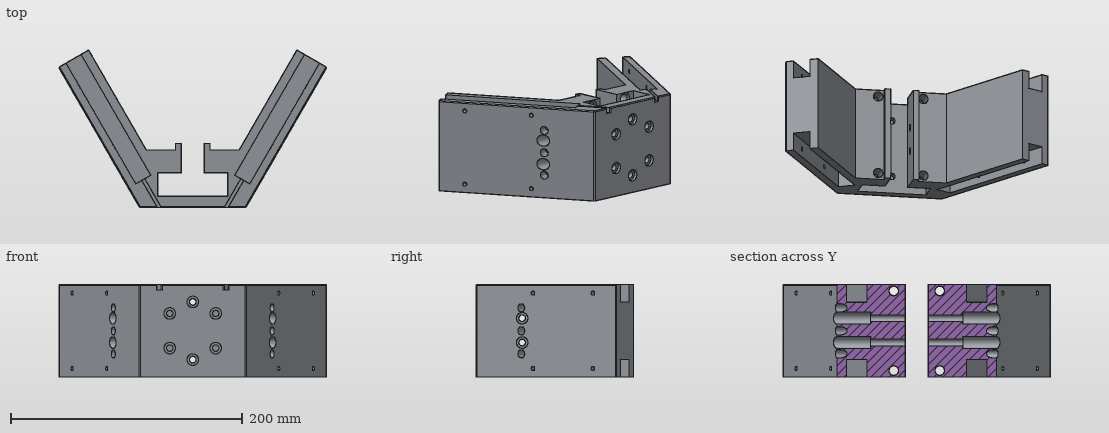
import cadquery as cq
import math

height = 80.3
front_half_width = 46.0
arm_angle = 60.0
arm_length = 140.2
arm_thickness = 30.0
edge_chamfer = 1.0

plate_thickness = 10.0
pocket_half_width = 30.0
pocket_back = 30.0
neck_half_width = 10.0
block_back = 50.0
lip_back = 55.5
lip_width = 5.0

channel_start = 19.5
channel_wall = 7.5
channel_width = 15.0
channel_depth = 15.3
wire_groove_width = 3.0
wire_groove_depth = 4.6

screw_diameter = 5.5
screw_head_diameter = 10.0
plate_head_depth = 3.0
plate_centre_pitch_z = 50.0
plate_side_pitch_x = 39.8
plate_side_pitch_z = 30.0

block_hole_pitch_z = 69.0
block_hole_diameter = 8.0
block_countersink_diameter = 11.0

clamp_y = 40.0
clamp_middle_z = 40.5
clamp_pitch_z = 21.0
clamp_seat_x = 40.0

socket_diameter = 7.0
socket_along = 45.4
socket_pitch_z = 20.0
socket_depth = 15.0

pin_diameter = 3.5
pin_alongs = (57.0, 116.9)
pin_pitch_z = 65.3

overrun = 2.3

middle_z = height / 2
angle = math.radians(arm_angle)
along_arm = (math.cos(angle), math.sin(angle), 0)
into_arm = (-math.sin(angle), math.cos(angle), 0)
into_plate = (0, 1, 0)
outward = (1, 0, 0)


def arm_point(along, inward):
    """Plan position on the right arm, measured from its outer front corner."""
    x = front_half_width + along * math.cos(angle) - inward * math.sin(angle)
    y = along * math.sin(angle) + inward * math.cos(angle)
    return x, y


def pair_z(pitch, centre=middle_z):
    """Two heights spaced evenly about a centre height."""
    return centre - pitch / 2, centre + pitch / 2


def hole(start, direction, diameter, depth):
    solid = cq.Solid.makeCylinder(diameter / 2, depth, cq.Vector(*start), cq.Vector(*direction))
    return cq.Workplane(solid)


def body_half():
    """Right half of the body, up to the middle plane."""
    along_at_block = (block_back - arm_thickness * math.cos(angle)) / math.sin(angle)
    outline = [
        (0, 0),
        arm_point(0, 0),
        arm_point(arm_length, 0),
        arm_point(arm_length, arm_thickness),
        arm_point(along_at_block, arm_thickness),
        (neck_half_width + lip_width, block_back),
        (neck_half_width + lip_width, lip_back),
        (neck_half_width, lip_back),
        (neck_half_width, pocket_back),
        (pocket_half_width, pocket_back),
        (pocket_half_width, plate_thickness),
        (0, plate_thickness),
    ]
    return cq.Workplane("XY").polyline(outline).close().extrude(height)


def chamfer_outside(body):
    """Break the top and upright edges of the outside faces, including the groove mouth."""
    groove_left, groove_right = (groove_mouth_x(side) for side in (1, -1))
    groove_middle_z = height - wire_groove_depth / 2
    edge_middles = [
        (groove_left / 2, 0, height),
        ((groove_right + front_half_width) / 2, 0, height),
        (groove_left, 0, groove_middle_z),
        (groove_right, 0, groove_middle_z),
        (*arm_point(arm_length / 2, 0), height),
        (*arm_point(0, 0), middle_z),
        (*arm_point(arm_length, 0), middle_z),
    ]
    edges = [body.edges(cq.NearestToPointSelector(point)).val() for point in edge_middles]
    return body.newObject(edges).chamfer(edge_chamfer)


def channels():
    corners = [
        arm_point(channel_start, channel_wall),
        arm_point(arm_length + overrun, channel_wall),
        arm_point(arm_length + overrun, channel_wall + channel_width),
        arm_point(channel_start, channel_wall + channel_width),
    ]
    bottom = cq.Workplane("XY").polyline(corners).close().extrude(channel_depth)
    return bottom.union(bottom.translate((0, 0, height - channel_depth)))


def groove_mouth_x(side):
    """X where a groove wall meets the front face: side 1 is nearer the middle, -1 the arm."""
    inward = channel_wall + channel_width / 2 + side * wire_groove_width / 2
    return front_half_width - inward / math.sin(angle)


def wire_groove():
    inner = channel_wall + (channel_width + wire_groove_width) / 2
    outer = inner - wire_groove_width
    before_front = -(inner / math.tan(angle) + overrun)
    corners = [
        arm_point(before_front, inner),
        arm_point(channel_start + overrun, inner),
        arm_point(channel_start + overrun, outer),
        arm_point(before_front, outer),
    ]
    floor = cq.Workplane("XY").workplane(offset=height - wire_groove_depth)
    return floor.polyline(corners).close().extrude(wire_groove_depth)


def plate_holes():
    x = plate_side_pitch_x / 2
    starts = [(x, 0, z) for z in pair_z(plate_side_pitch_z)]
    starts += [(0, 0, z) for z in pair_z(plate_centre_pitch_z)]
    cuts = cq.Workplane()
    for start in starts:
        cuts = cuts.add(hole(start, into_plate, screw_head_diameter, plate_head_depth))
        cuts = cuts.add(hole(start, into_plate, screw_diameter, plate_thickness))
    return cuts


def block_holes():
    cuts = cq.Workplane()
    mouth_radius = block_countersink_diameter / 2
    hole_radius = block_hole_diameter / 2
    for z in pair_z(block_hole_pitch_z):
        start = (plate_side_pitch_x / 2, pocket_back, z)
        countersink = cq.Solid.makeCone(
            mouth_radius, hole_radius, mouth_radius - hole_radius, cq.Vector(*start), cq.Vector(*into_plate)
        )
        cuts = cuts.add(cq.Workplane(countersink))
        cuts = cuts.add(hole(start, into_plate, block_hole_diameter, block_back - pocket_back))
    return cuts


def clamp_holes():
    cuts = cq.Workplane()
    for z in pair_z(clamp_pitch_z, clamp_middle_z):
        cuts = cuts.add(hole((0, clamp_y, z), outward, screw_diameter, clamp_seat_x + overrun))
        cuts = cuts.add(hole((clamp_seat_x, clamp_y, z), outward, screw_head_diameter, front_half_width))
    return cuts


def arm_holes():
    cuts = cq.Workplane()
    for row in (-1, 0, 1):
        start = (*arm_point(socket_along, 0), middle_z + row * socket_pitch_z)
        cuts = cuts.add(hole(start, into_arm, socket_diameter, socket_depth))
    for along in pin_alongs:
        for z in pair_z(pin_pitch_z):
            start = (*arm_point(along, 0), z)
            cuts = cuts.add(hole(start, into_arm, pin_diameter, channel_wall + overrun))
    return cuts


half = chamfer_outside(body_half().cut(wire_groove()))
for feature in (channels(), plate_holes(), block_holes(), clamp_holes(), arm_holes()):
    for cut in feature.vals():
        half = half.cut(cq.Workplane(cut))

result = half.union(half.mirror("YZ"))